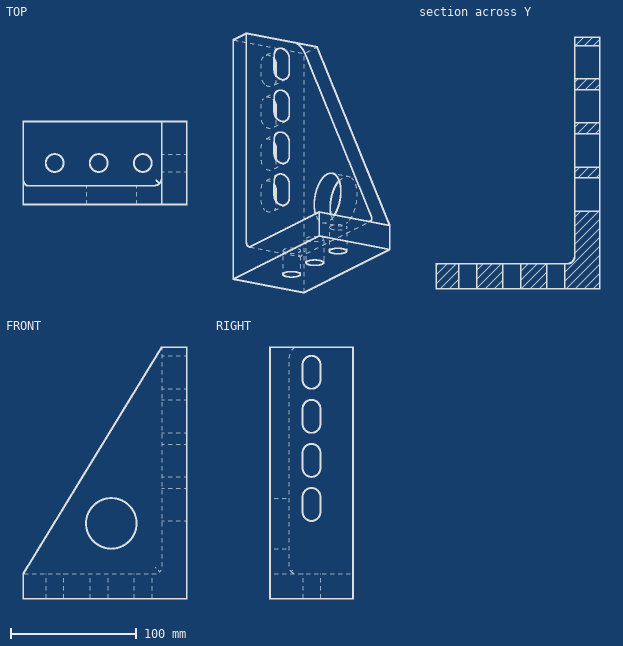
import cadquery as cq

length = 130.0
width = 66.0
height = 200.0

plate_thickness = 20.0
web_thickness = 15.0
fillet_radius = 6.0

window_diameter = 40.0
window_x = 70.0
window_z = 60.0

fixing_diameter = 14.0
slot_length = 26.0
fixing_pitch = 35.0
first_hole_x = 25.0
hole_count = 3
first_slot_z = 75.0
slot_count = 4
fixing_y = width / 2
vertical = 90.0


def make_body():
    """Triangular bracket profile, hollowed to leave base, upright and web."""
    profile = [
        (0, 0),
        (length, 0),
        (length, height),
        (length - plate_thickness, height),
        (0, plate_thickness),
    ]
    block = cq.Workplane("XZ").polyline(profile).close().extrude(-width)
    return block.cut(make_cavity())


def make_cavity():
    """Space above the base and beside the upright, open on its other sides.

    Each inner corner is rounded on its own copy of the block; the common volume
    lets the three fillets run straight on and meet in mitres.
    """
    corner_x = length - plate_thickness
    block = cq.Workplane("XY").box(2 * length, 2 * width, 2 * height, centered=False)
    block = block.translate((corner_x - 2 * length, web_thickness, plate_thickness))

    cavity = block
    for inner_edge in (">X and <Y", ">X and <Z", "<Y and <Z"):
        cavity = cavity.intersect(block.edges(inner_edge).fillet(fillet_radius))
    return cavity


def make_window():
    """Round opening through the web."""
    return (
        cq.Workplane("XZ")
        .center(window_x, window_z)
        .circle(window_diameter / 2)
        .extrude(-web_thickness)
    )


def make_base_holes():
    """Row of round holes down through the base."""
    centers = [(first_hole_x + i * fixing_pitch, fixing_y) for i in range(hole_count)]
    return (
        cq.Workplane("XY")
        .pushPoints(centers)
        .circle(fixing_diameter / 2)
        .extrude(plate_thickness)
    )


def make_upright_slots():
    """Column of vertical slots through the upright."""
    centers = [(fixing_y, first_slot_z + i * fixing_pitch) for i in range(slot_count)]
    return (
        cq.Workplane("YZ", origin=(length - plate_thickness, 0, 0))
        .pushPoints(centers)
        .slot2D(slot_length, fixing_diameter, vertical)
        .extrude(plate_thickness)
    )


result = (
    make_body()
    .cut(make_window())
    .cut(make_base_holes())
    .cut(make_upright_slots())
)